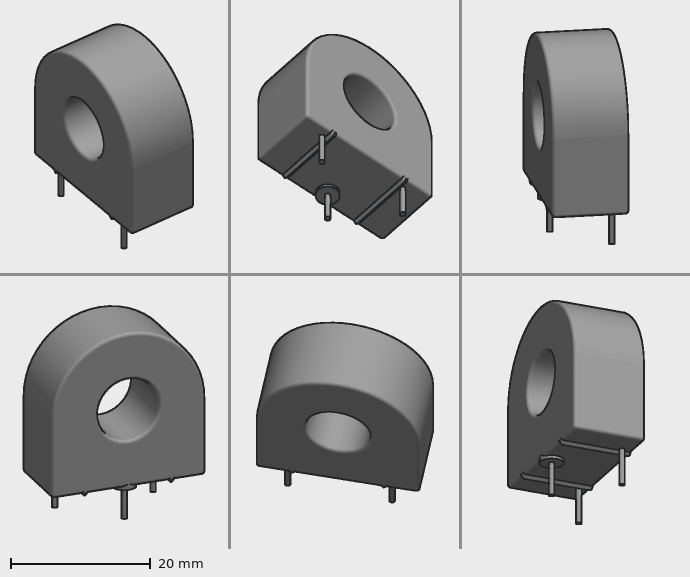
import cadquery as cq

WIDTH = 23.8
DEPTH = 11.13
TOTAL_HEIGHT = 29.3
PIN_LENGTH = 5.5
EDGE_RADIUS = 0.5
HOLE_DIAMETER = 9.5

STANDOFF_HEIGHT = 0.5
RIDGE_X = 6.7
PAD_DIAMETER = 3.5
PIN_DIAMETER = 0.82
PIN_X = 7.62

ARCH_RADIUS = WIDTH / 2
BODY_HEIGHT = TOTAL_HEIGHT - PIN_LENGTH
HOLE_Z = BODY_HEIGHT - ARCH_RADIUS
PIN_Y = DEPTH / 2 - PAD_DIAMETER / 2
BACK_PIN = (0, PIN_Y)
FRONT_PINS = [(-PIN_X, -PIN_Y), (PIN_X, -PIN_Y)]


def make_housing():
    """Arch with two V ridges under it and a through hole; the underside is at Z = 0."""
    outline = cq.Workplane("XZ", origin=(0, DEPTH / 2, 0)).moveTo(-ARCH_RADIUS, 0)
    for ridge_x in (-RIDGE_X, RIDGE_X):
        outline = (
            outline.lineTo(ridge_x - STANDOFF_HEIGHT, 0)
            .lineTo(ridge_x, -STANDOFF_HEIGHT)
            .lineTo(ridge_x + STANDOFF_HEIGHT, 0)
        )
    housing = (
        outline.lineTo(ARCH_RADIUS, 0)
        .lineTo(ARCH_RADIUS, HOLE_Z)
        .threePointArc((0, BODY_HEIGHT), (-ARCH_RADIUS, HOLE_Z))
        .close()
        .extrude(DEPTH)
    )
    lower_corners = cq.selectors.BoxSelector(
        (-WIDTH, -DEPTH, -EDGE_RADIUS / 2), (WIDTH, DEPTH, EDGE_RADIUS / 2)
    )
    housing = housing.faces("<X or >X").edges("|Y").edges(lower_corners).fillet(EDGE_RADIUS)
    hole = (
        cq.Workplane("XZ", origin=(0, DEPTH / 2, HOLE_Z))
        .circle(HOLE_DIAMETER / 2)
        .extrude(DEPTH)
    )
    return housing.cut(hole).faces("<Y or >Y").edges().fillet(EDGE_RADIUS)


def make_pad():
    """Round standoff around the back pin, reaching up into the housing."""
    return (
        cq.Workplane("XY", origin=(0, 0, -STANDOFF_HEIGHT))
        .center(*BACK_PIN)
        .circle(PAD_DIAMETER / 2)
        .extrude(STANDOFF_HEIGHT + EDGE_RADIUS)
    )


def make_pins():
    """Three round pins, rooted one pin diameter inside the housing."""
    return (
        cq.Workplane("XY", origin=(0, 0, -PIN_LENGTH))
        .pushPoints([BACK_PIN] + FRONT_PINS)
        .circle(PIN_DIAMETER / 2)
        .extrude(PIN_LENGTH + PIN_DIAMETER)
    )


result = make_housing().union(make_pad()).union(make_pins())